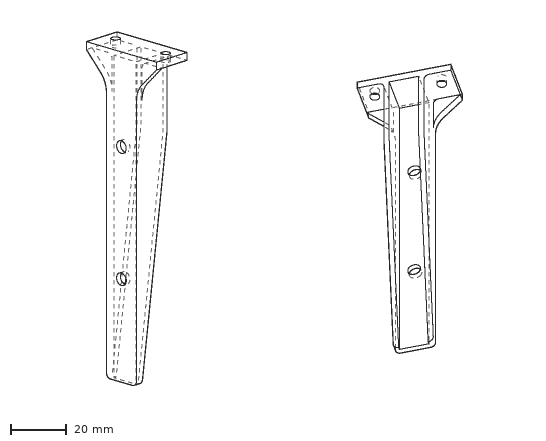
import cadquery as cq

height = 125.0
depth = 16.0
head_width = 35.0
leg_width = 15.0
plate_thickness = 3.0
leg_wall = 2.0

straight_flange_length = 32.0

flare_radius = 10.0
head_fillet_radius = 2.0
foot_radius = 2.0

leg_hole_diameter = 4.8
leg_hole_drop = 36.0
leg_hole_spacing = 50.0
head_hole_diameter = 3.5
head_hole_spacing = 25.0
head_hole_back_distance = 6.0

head_underside = height - plate_thickness
flare_run = (head_width - leg_width) / 2


def make_head():
    """Flat mounting plate across the top."""
    plate = cq.Workplane("XY").box(head_width, depth, plate_thickness, (True, False, False))
    return plate.translate((0, 0, head_underside))


def make_leg():
    """Tapered channel, open at the back, with rounded foot corners."""
    taper_start = height - straight_flange_length
    side_profile = [(0, 0), (plate_thickness, 0), (depth, taper_start), (depth, height), (0, height)]
    leg = cq.Workplane("YZ").polyline(side_profile).close().extrude(leg_width / 2, both=True)
    cavity = (
        cq.Workplane("XY")
        .box(leg_width - 2 * leg_wall, depth, head_underside, (True, False, False))
        .translate((0, leg_wall, 0))
    )
    foot_outline = (
        cq.Workplane("XY")
        .box(leg_width, depth, height, (True, False, False))
        .edges("|Y and <Z")
        .fillet(foot_radius)
    )
    return leg.cut(cavity).intersect(foot_outline)


def make_flare(side):
    """45 degree web, flush with the front, under the head, blended into the leg side with an arc."""
    inner = side * (leg_width / 2 - leg_wall)
    leg_side = side * leg_width / 2
    web = (
        cq.Workplane("XZ")
        .moveTo(inner, head_underside)
        .lineTo(side * head_width / 2, head_underside)
        .lineTo(leg_side, head_underside - flare_run)
        .lineTo(leg_side, head_underside - 2 * flare_run)
        .lineTo(inner, head_underside - 2 * flare_run)
        .close()
        .extrude(-plate_thickness)
    )
    bend_point = (leg_side, plate_thickness / 2, head_underside - flare_run)
    bend = cq.selectors.NearestToPointSelector(bend_point)
    return web.edges("|Y").edges(bend).fillet(flare_radius)


def make_head_fillet(side):
    """Concave fillet between a leg side and the underside of the head."""
    leg_side = side * leg_width / 2
    outer = leg_side + side * head_fillet_radius
    lower = head_underside - head_fillet_radius
    block = (
        cq.Workplane("XZ")
        .moveTo(leg_side, head_underside)
        .lineTo(outer, head_underside)
        .lineTo(leg_side, lower)
        .close()
        .extrude(-depth)
    )
    rounding = cq.Workplane("XZ").center(outer, lower).circle(head_fillet_radius).extrude(-depth)
    return block.cut(rounding)


def make_leg_holes():
    first_height = height - leg_hole_drop
    centres = [(0, first_height), (0, first_height - leg_hole_spacing)]
    return cq.Workplane("XZ").pushPoints(centres).circle(leg_hole_diameter / 2).extrude(-depth)


def make_head_holes():
    hole_y = depth - head_hole_back_distance
    centres = [(side * head_hole_spacing / 2, hole_y) for side in (-1, 1)]
    return (
        cq.Workplane("XY", origin=(0, 0, head_underside))
        .pushPoints(centres)
        .circle(head_hole_diameter / 2)
        .extrude(plate_thickness)
    )


bracket = make_head().union(make_leg())
for side in (-1, 1):
    bracket = bracket.union(make_flare(side)).union(make_head_fillet(side))

result = bracket.cut(make_leg_holes()).cut(make_head_holes())